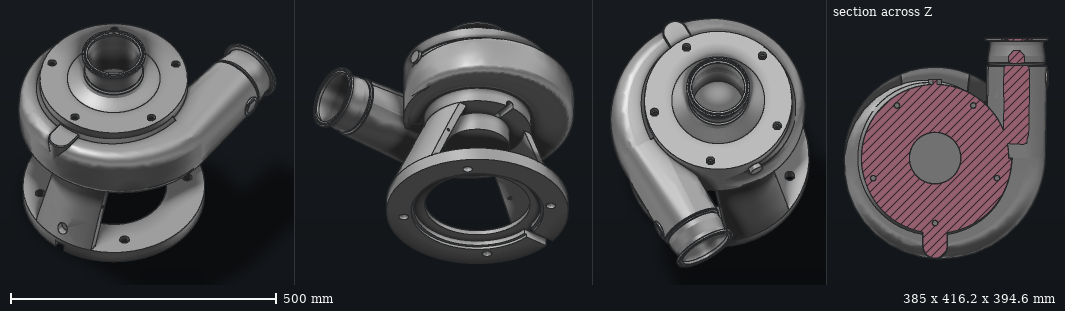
import cadquery as cq
import math


BASE_RADIUS = 171.5
BASE_BORE_RADIUS = 99.5
BASE_HEIGHT = 26
BASE_HOLE_CIRCLE = 140
BASE_HOLE_DIAMETER = 18
BASE_HOLE_COUNT = 4
NOTCH_WIDTH = 20
NOTCH_HEIGHT = 16
RECESS_RADIUS = 120
RECESS_MOUTH_RADIUS = 125
RECESS_MOUTH_HEIGHT = 6

HUB_BOTTOM = 184.3
HUB_RADIUS = 101
STUB_RADIUS = 60.5
STUB_BOTTOM = 147
HUB_NOTCH_RADIUS = 7.5
HUB_NOTCH_HEIGHT = 13

LEG_THICKNESS = 13
LEG_BOTTOM_WIDTH = 129
LEG_TOP_WIDTH = 111
LEG_HOLE_DIAMETER = 21
LEG_HOLE_Z = 47.7
EDGE_HOLE_DIAMETER = 5
EDGE_HOLE_DEPTH = 15
EDGE_HOLE_Z = 106

CORE_RADIUS = 139.2
CORE_BOTTOM = 213
INNER_RADIUS = 97
WALL_BOTTOM = 226
WALL_TOP = 279
WALL_MIDDLE = (WALL_BOTTOM + WALL_TOP) / 2
WALL_BULGE = 2
CORNER_BULGE = 0.69
FAIRING_WIDTH = 8
FAIRING_HEIGHT = 7
FAIRING_INSET = 3
CASING_STATIONS = [
    (45, 139.5, 211.5, 294.5, 13),
    (90, 145.5, 211, 295, 15),
    (135, 159.5, 210, 296, 18),
    (180, 171.1, 209, 297, 21),
    (225, 181.2, 207.5, 299, 24),
    (270, 190, 205.5, 301, 27),
    (315, 199.3, 203, 303, 30),
    (360, 208.4, 200, 303.8, 34),
]

COVER_TOP = 325.7
CONE_RADIUS = 87.5
CONE_KNEE_RADIUS = 61.5
CONE_KNEE_Z = 337
TOTAL_HEIGHT = 394.6

NOZZLE_LENGTH = 53.6
FLANGE_RADIUS = 59.5
FLANGE_THICKNESS = 4.1
FLANGE_BACK_RADIUS = 56
FLANGE_BACK_END = 6.6
GASKET_RADIUS = 55
GASKET_GROOVE_DEPTH = 1.7
NECK_RADIUS = 50.8
NECK_END = 14.1
NUT_RADIUS = 54.3
NUT_START = 34.3
NUT_END = 46.1
GROOVE_RADIUS = 51.5
GROOVE_START = 48.5
GROOVE_END = 51.3
NOZZLE_BORE_RADIUS = 49.7
BORE_TAPER_START = 27.5
BORE_TAPER_END = 47.5
NOZZLE_THROAT_RADIUS = 48.3
COLLAR_RADIUS = 56.5
INLET_DEPTH = 95

BOLT_CIRCLE = 122.6
BOLT_COUNT = 5
BOLT_HOLE_DIAMETER = 10
BOLT_RECESS_DIAMETER = 15.5
BOLT_RECESS_DEPTH = 14
BOLT_HOLE_DEPTH = 28

OUTLET_X = 153.8
OUTLET_Z = 252.8
OUTLET_END = 225.9
PIPE_RADIUS = 57.3
PIPE_TOP_HALF_SPAN = 10
PIPE_SIDE_HALF_SPAN = 21

LUG_WIDTH = 47
LUG_END = 189.6
LUG_TOP = 306
LUG_BOTTOM = 255
LUG_CHAMFER = 2
DRAIN_RADIUS = 12.5
DRAIN_Z = 293
DRAIN_END = 148.6
PLUG_Y = 150.5
PLUG_END = 213.4
PLUG_FLATS = 26
PLUG_SEAT_DIAMETER = 38
PLUG_SEAT_END = 211.8
PLUG_ROOT = 195


def cylinder(radius, bottom, top):
    return cq.Workplane("XY").workplane(offset=bottom).circle(radius).extrude(top - bottom)


def revolved(outline):
    """Solid of revolution about Z from (radius, height) points."""
    return cq.Workplane("XZ").polyline(outline).close().revolve(360, (0, 0, 0), (0, 1, 0))


def base_ring():
    ring = cylinder(BASE_RADIUS, 0, BASE_HEIGHT).cut(cylinder(BASE_BORE_RADIUS, 0, BASE_HEIGHT))
    holes = (
        cq.Workplane("XY")
        .polarArray(BASE_HOLE_CIRCLE, 45, 360, BASE_HOLE_COUNT)
        .circle(BASE_HOLE_DIAMETER / 2)
        .extrude(BASE_HEIGHT)
    )
    ring = ring.cut(holes)

    ring = ring.cut(cylinder(RECESS_RADIUS, 0, NOTCH_HEIGHT))
    ring = ring.cut(cylinder(RECESS_MOUTH_RADIUS, 0, RECESS_MOUTH_HEIGHT))
    notch_depth = BASE_RADIUS - BASE_BORE_RADIUS
    notch = cq.Workplane("XY").box(NOTCH_WIDTH, notch_depth, NOTCH_HEIGHT, centered=(True, False, False))
    return ring.cut(notch.translate((0, -BASE_RADIUS, 0)))


def legs():
    shell = revolved([
        (BASE_RADIUS, BASE_HEIGHT),
        (HUB_RADIUS, HUB_BOTTOM),
        (HUB_RADIUS - LEG_THICKNESS, HUB_BOTTOM),
        (BASE_RADIUS - LEG_THICKNESS, BASE_HEIGHT),
    ])
    strip = (
        cq.Workplane("XZ")
        .moveTo(-LEG_BOTTOM_WIDTH / 2, BASE_HEIGHT)
        .lineTo(LEG_BOTTOM_WIDTH / 2, BASE_HEIGHT)
        .lineTo(LEG_TOP_WIDTH / 2, HUB_BOTTOM)
        .lineTo(-LEG_TOP_WIDTH / 2, HUB_BOTTOM)
        .close()
        .extrude(BASE_RADIUS, both=True)
    )
    pair = shell.intersect(strip)
    front_hole = (
        cq.Workplane("XZ")
        .center(0, LEG_HOLE_Z)
        .circle(LEG_HOLE_DIAMETER / 2)
        .extrude(BASE_RADIUS)
    )
    pair = pair.cut(front_hole)

    rise = (EDGE_HOLE_Z - BASE_HEIGHT) / (HUB_BOTTOM - BASE_HEIGHT)
    half_width = (LEG_BOTTOM_WIDTH + (LEG_TOP_WIDTH - LEG_BOTTOM_WIDTH) * rise) / 2
    mid_radius = BASE_RADIUS + (HUB_RADIUS - BASE_RADIUS) * rise - LEG_THICKNESS / 2
    hole_y = math.sqrt(mid_radius**2 - half_width**2)
    hole_start = half_width - EDGE_HOLE_DEPTH
    for side_y in (-hole_y, hole_y):
        hole = (
            cq.Workplane("YZ")
            .workplane(offset=hole_start)
            .center(side_y, EDGE_HOLE_Z)
            .circle(EDGE_HOLE_DIAMETER / 2)
            .extrude(2 * EDGE_HOLE_DEPTH)
        )
        pair = pair.cut(hole).cut(hole.mirror("YZ"))
    return pair


def hub():
    body = cylinder(HUB_RADIUS, HUB_BOTTOM, CORE_BOTTOM)
    body = body.union(cylinder(STUB_RADIUS, STUB_BOTTOM, CORE_BOTTOM))
    arch_center = HUB_BOTTOM + HUB_NOTCH_HEIGHT - HUB_NOTCH_RADIUS
    arch = (
        cq.Workplane("YZ")
        .workplane(offset=-HUB_RADIUS)
        .moveTo(-HUB_NOTCH_RADIUS, HUB_BOTTOM)
        .lineTo(-HUB_NOTCH_RADIUS, arch_center)
        .threePointArc((0, HUB_BOTTOM + HUB_NOTCH_HEIGHT), (HUB_NOTCH_RADIUS, arch_center))
        .lineTo(HUB_NOTCH_RADIUS, HUB_BOTTOM)
        .close()
        .extrude(HUB_RADIUS - STUB_RADIUS)
    )
    return body.cut(arch)


def station_plane(angle):
    """Radial plane through the pump axis."""
    direction = math.radians(angle)
    x, y = math.cos(direction), math.sin(direction)
    return cq.Plane(origin=(0, 0, 0), xDir=(x, y, 0), normal=(y, -x, 0))


def station_section(station):
    """Rounded outline of the casing passage, counterclockwise from its bottom edge."""
    angle, outer, bottom, top, corner = station
    side = outer - WALL_BULGE
    right = side - corner
    left = INNER_RADIUS + corner
    bulge_x = corner * CORNER_BULGE
    bulge_bottom = WALL_BOTTOM - (WALL_BOTTOM - bottom) * CORNER_BULGE
    bulge_top = WALL_TOP + (top - WALL_TOP) * CORNER_BULGE
    return (
        cq.Workplane(station_plane(angle))
        .moveTo(left, bottom)
        .lineTo(right, bottom)
        .threePointArc((right + bulge_x, bulge_bottom), (side, WALL_BOTTOM))
        .threePointArc((outer, WALL_MIDDLE), (side, WALL_TOP))
        .threePointArc((right + bulge_x, bulge_top), (right, top))
        .lineTo(left, top)
        .threePointArc((left - bulge_x, bulge_top), (INNER_RADIUS, WALL_TOP))
        .lineTo(INNER_RADIUS, WALL_BOTTOM)
        .threePointArc((left - bulge_x, bulge_bottom), (left, bottom))
        .close()
        .val()
    )


def pipe_section():
    """Round outline of the outlet pipe, split into arcs that pair with a casing section."""

    def rim_point(angle):
        direction = math.radians(angle)
        x = OUTLET_X + PIPE_RADIUS * math.cos(direction)
        return (x, OUTLET_Z + PIPE_RADIUS * math.sin(direction))

    breaks = []
    for middle, half_span in ((-90, PIPE_TOP_HALF_SPAN), (0, PIPE_SIDE_HALF_SPAN)):
        breaks += [middle - half_span, middle + half_span]
    breaks += [angle + 180 for angle in breaks]
    breaks.append(breaks[0] + 360)

    plane = cq.Plane(origin=(0, OUTLET_END - NOZZLE_LENGTH, 0), xDir=(1, 0, 0), normal=(0, -1, 0))
    outline = cq.Workplane(plane).moveTo(*rim_point(breaks[0]))
    for start, end in zip(breaks, breaks[1:]):
        outline = outline.threePointArc(rim_point((start + end) / 2), rim_point(end))
    return outline.wire().val()


def fairing_section(station):
    """Outline with a sloped top edge that blends the casing top into the core."""
    angle, outer, _, top, corner = station
    tip = min(CORE_RADIUS + FAIRING_WIDTH, outer - FAIRING_INSET)
    points = [
        (INNER_RADIUS, top - corner / 2),
        (tip, top - corner / 2),
        (tip, top - FAIRING_INSET / 2),
        (CORE_RADIUS, top + FAIRING_HEIGHT),
        (INNER_RADIUS, top + FAIRING_HEIGHT),
    ]
    return cq.Workplane(station_plane(angle)).polyline(points).close().val()


def casing():
    spiral = cq.Solid.makeLoft([station_section(station) for station in CASING_STATIONS])
    pipe = cq.Solid.makeLoft([station_section(CASING_STATIONS[-1]), pipe_section()], True)
    fairing = cq.Solid.makeLoft([fairing_section(station) for station in CASING_STATIONS[1:]])
    core = cylinder(CORE_RADIUS, CORE_BOTTOM, COVER_TOP)
    for solid in (spiral, pipe, fairing):
        core = core.union(cq.Workplane(solid))
    return core


def nozzle():
    """Pipe union along +Z with its flange face, and a gasket groove in it, at Z = 0."""
    return revolved([
        (0, 0),
        (GASKET_RADIUS - GASKET_GROOVE_DEPTH, 0),
        (GASKET_RADIUS, -GASKET_GROOVE_DEPTH),
        (GASKET_RADIUS + GASKET_GROOVE_DEPTH, 0),
        (FLANGE_RADIUS, 0),
        (FLANGE_RADIUS, -FLANGE_THICKNESS),
        (FLANGE_BACK_RADIUS, -FLANGE_THICKNESS),
        (NECK_RADIUS, -FLANGE_BACK_END),
        (NECK_RADIUS, -NECK_END),
        (NUT_RADIUS, -NUT_START),
        (NUT_RADIUS, -NUT_END),
        (GROOVE_RADIUS, -GROOVE_START),
        (GROOVE_RADIUS, -GROOVE_END),
        (COLLAR_RADIUS, -GROOVE_END),
        (COLLAR_RADIUS, -NOZZLE_LENGTH),
        (0, -NOZZLE_LENGTH),
    ])


def nozzle_bore(depth):
    """Inside of a pipe union: a straight mouth that tapers to a narrower throat."""
    return revolved([
        (0, 0),
        (NOZZLE_BORE_RADIUS, 0),
        (NOZZLE_BORE_RADIUS, -BORE_TAPER_START),
        (NOZZLE_THROAT_RADIUS, -BORE_TAPER_END),
        (NOZZLE_THROAT_RADIUS, -depth),
        (0, -depth),
    ])


def to_inlet(shape):
    return shape.translate((0, 0, TOTAL_HEIGHT))


def to_outlet(shape):
    return shape.rotate((0, 0, 0), (1, 0, 0), -90).translate((OUTLET_X, OUTLET_END, OUTLET_Z))


def cover_cone():
    return revolved([
        (0, COVER_TOP),
        (CONE_RADIUS, COVER_TOP),
        (CONE_KNEE_RADIUS, CONE_KNEE_Z),
        (COLLAR_RADIUS, TOTAL_HEIGHT - NOZZLE_LENGTH),
        (0, TOTAL_HEIGHT - NOZZLE_LENGTH),
    ])


def cover_bolt_holes():
    places = cq.Workplane("XY").workplane(offset=COVER_TOP).polarArray(BOLT_CIRCLE, -90, 360, BOLT_COUNT)
    recesses = places.circle(BOLT_RECESS_DIAMETER / 2).extrude(-BOLT_RECESS_DEPTH)
    return recesses.union(places.circle(BOLT_HOLE_DIAMETER / 2).extrude(-BOLT_HOLE_DEPTH))


def lug():
    """Round-ended lug on the -Y side, its end touching the casing wall."""
    end_radius = LUG_WIDTH / 2
    end_y = end_radius - LUG_END
    root_y = -(CORE_RADIUS - end_radius)
    return (
        cq.Workplane("XY")
        .workplane(offset=LUG_BOTTOM)
        .moveTo(-end_radius, root_y)
        .lineTo(-end_radius, end_y)
        .threePointArc((0, -LUG_END), (end_radius, end_y))
        .lineTo(end_radius, root_y)
        .close()
        .extrude(LUG_TOP - LUG_BOTTOM)
        .faces(">Z")
        .edges("not >Y")
        .chamfer(LUG_CHAMFER)
    )


def drain_boss():
    return (
        cq.Workplane("XZ")
        .center(0, DRAIN_Z)
        .circle(DRAIN_RADIUS)
        .extrude(-DRAIN_END)
    )


def side_plug():
    """Hexagon plug and its round seat on the +X side of the outlet."""
    place = cq.Workplane("YZ").workplane(offset=PLUG_ROOT).center(PLUG_Y, OUTLET_Z)
    seat = place.circle(PLUG_SEAT_DIAMETER / 2).extrude(PLUG_SEAT_END - PLUG_ROOT)
    across_corners = PLUG_FLATS / math.cos(math.pi / 6)
    return seat.union(place.polygon(6, across_corners).extrude(PLUG_END - PLUG_ROOT))


def pump():
    body = casing().union(hub()).union(legs()).union(base_ring()).union(cover_cone())
    body = body.union(to_inlet(nozzle())).union(to_outlet(nozzle()))
    body = body.union(lug()).union(drain_boss()).union(side_plug())
    body = body.cut(to_inlet(nozzle_bore(INLET_DEPTH)))
    body = body.cut(to_outlet(nozzle_bore(NOZZLE_LENGTH)))
    return body.cut(cover_bolt_holes())


result = pump()